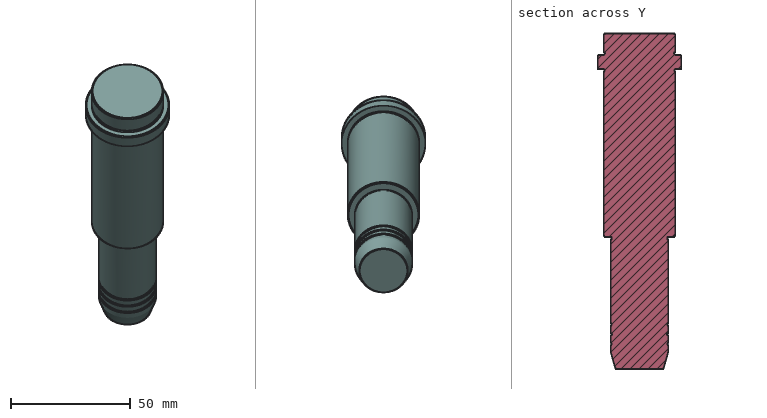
import cadquery as cq
import math

total_length = 140.0
collar_radius = 17.5
body_radius = 15.0
shank_radius = 12.0
edge_chamfer = 0.49

collar_top = total_length - 9.0
collar_bottom = collar_top - 6.0
body_bottom = total_length - 85.0

taper_height = 7.0
taper_angle = 15.0
tip_radius = shank_radius - taper_height * math.tan(math.radians(taper_angle))
tip_chamfer = 0.3

groove_depth = 0.49
head_relief_depth = 0.5
ring_groove_count = 3
ring_groove_pitch = 4.0
lowest_groove_height = 10.5

neck_height = 1.0
neck_depth = 0.4
neck_radius = shank_radius - neck_depth


def cylinder(radius, bottom, top):
    """Solid cylinder about Z between two heights."""
    return cq.Workplane("XY").workplane(offset=bottom).circle(radius).extrude(top - bottom)


def cut_groove(part, surface_radius, height, depth):
    """Cut a right-angled V groove centred on a cylinder's surface."""
    cutter = (
        cq.Workplane("XZ")
        .center(surface_radius, height)
        .polygon(4, 2 * depth)
        .revolve(360, (-surface_radius, 0, 0), (-surface_radius, 1, 0))
    )
    return part.cut(cutter)


body = cylinder(body_radius, body_bottom, total_length)
body = body.faces("<Z or >Z").chamfer(edge_chamfer)

collar = cylinder(collar_radius, collar_bottom, collar_top).faces(">Z").chamfer(edge_chamfer)

shank_top = body_bottom - neck_height
shank = cylinder(shank_radius, taper_height, shank_top)
neck = cylinder(neck_radius, shank_top, body_bottom)
tip = cq.Workplane("XZ").polyline([
    (0, 0),
    (tip_radius - tip_chamfer, 0),
    (tip_radius, tip_chamfer),
    (shank_radius, taper_height),
    (0, taper_height),
]).close().revolve(360, (0, 0, 0), (0, 1, 0))

body = cut_groove(body, body_radius, collar_top + head_relief_depth, head_relief_depth)
body = cut_groove(body, body_radius, collar_bottom - groove_depth, groove_depth)

for index in range(ring_groove_count):
    groove_height = lowest_groove_height + index * ring_groove_pitch
    shank = cut_groove(shank, shank_radius, groove_height, groove_depth)

result = body.union(collar).union(neck).union(shank).union(tip)